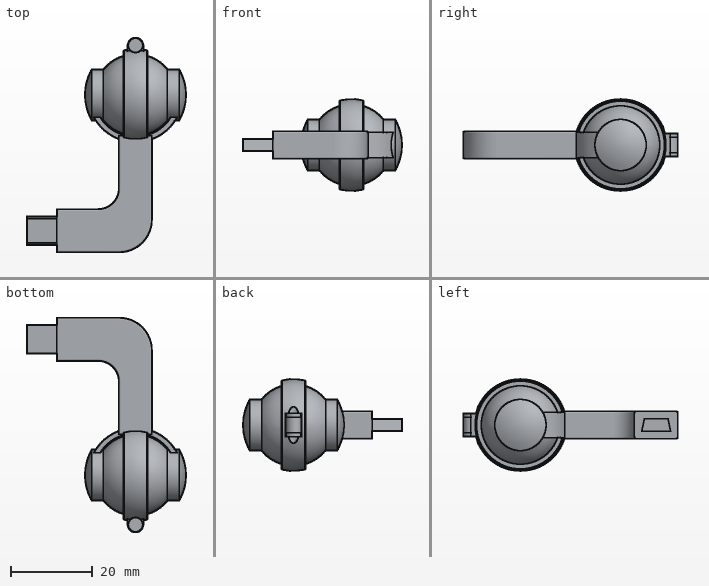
import cadquery as cq
import math


ball_radius = 10.0
band_radius = 11.25
band_half_width = 2.95
band_edge_chamfer = 0.15
cap_radius = 12.5 / 2
cap_dome_radius = 12.35
lug_center_y = 12.1
lug_radius = 1.9
lug_height = 5.65
lug_base_width = 4.05
lug_pocket_diameter = 3.5
lug_pocket_depth = 0.95

arm_left = -19.2
arm_inner_x = -4.1
arm_right = 4.05
arm_end_y = -9.9
arm_inner_y = -27.8
arm_bottom = -38.4
arm_thickness = 6.8
inner_bend_radius = 5.0
outer_bend_radius = 8.0
arm_edge_fillet = 0.5
yoke_outer_radius = 11.55
yoke_inner_radius = 10.15
yoke_height = 6.2
plug_tip_x = -26.5
plug_center_y = (arm_inner_y + arm_bottom) / 2
plug_base_width = 7.0
plug_top_width = 5.75
plug_height = 3.05


def level_plane(height):
    """Workplane that starts a slab of this height centred on Z = 0."""
    return cq.Workplane("XY", origin=(0, 0, -height / 2))


def arc_point(radius, x):
    """Point at x on the upper half of a circle about the origin."""
    return (x, math.sqrt(radius**2 - x**2))


def arc_to(profile, radius, start_x, end_x):
    """Continue a profile along a circle about the origin."""
    return profile.threePointArc(arc_point(radius, (start_x + end_x) / 2), arc_point(radius, end_x))


def make_turned_ball():
    """Domed caps, ball and chamfered spherical band, revolved about X as one shape."""
    dome_x = math.sqrt(cap_dome_radius**2 - cap_radius**2)
    neck_x = math.sqrt(ball_radius**2 - cap_radius**2)
    rim_x = band_half_width
    shoulder_x = rim_x - band_edge_chamfer
    face_radius = math.sqrt(band_radius**2 - rim_x**2) - band_edge_chamfer

    profile = cq.Workplane("XY").moveTo(-cap_dome_radius, 0)
    profile = arc_to(profile, cap_dome_radius, -cap_dome_radius, -dome_x)
    profile = profile.lineTo(-neck_x, cap_radius)
    profile = arc_to(profile, ball_radius, -neck_x, -rim_x)
    profile = profile.lineTo(-rim_x, face_radius).lineTo(*arc_point(band_radius, -shoulder_x))
    profile = arc_to(profile, band_radius, -shoulder_x, shoulder_x)
    profile = profile.lineTo(rim_x, face_radius).lineTo(*arc_point(ball_radius, rim_x))
    profile = arc_to(profile, ball_radius, rim_x, neck_x)
    profile = profile.lineTo(dome_x, cap_radius)
    profile = arc_to(profile, cap_dome_radius, dome_x, cap_dome_radius)
    return profile.close().revolve(360, (0, 0, 0), (1, 0, 0))


def make_lug():
    """Upright rounded lug, sunk into the band, with a pocket in each end."""
    base_depth = lug_center_y - ball_radius
    lug = level_plane(lug_height).center(0, lug_center_y).circle(lug_radius).extrude(lug_height)
    base = cq.Workplane("XY").box(lug_base_width, base_depth, lug_height)
    return lug.union(base.translate((0, lug_center_y - base_depth / 2, 0)))


def make_lug_pocket_cutters():
    """Cylinders above and below the lug web, long enough to clear the band."""
    cutter_height = 2 * band_radius
    cutters = level_plane(cutter_height).center(0, lug_center_y).circle(lug_pocket_diameter / 2)
    cutters = cutters.extrude(cutter_height)
    web_height = lug_height - 2 * lug_pocket_depth
    web = cq.Workplane("XY").box(2 * lug_radius, 2 * lug_radius, web_height)
    return cutters.cut(web.translate((0, lug_center_y, 0)))


def make_ball():
    return make_turned_ball().union(make_lug()).cut(make_lug_pocket_cutters())


def make_bent_bar():
    """L-shaped bar with rounded bends and rounded long edges."""
    bar = (
        level_plane(arm_thickness)
        .moveTo(arm_left, arm_bottom)
        .lineTo(arm_right, arm_bottom)
        .lineTo(arm_right, arm_end_y)
        .lineTo(arm_inner_x, arm_end_y)
        .lineTo(arm_inner_x, arm_inner_y)
        .lineTo(arm_left, arm_inner_y)
        .close()
        .extrude(arm_thickness)
    )
    outer_corner = cq.selectors.NearestToPointSelector((arm_right, arm_bottom, 0))
    bar = bar.edges("|Z").edges(outer_corner).fillet(outer_bend_radius)
    inner_corner = cq.selectors.NearestToPointSelector((arm_inner_x, arm_inner_y, 0))
    bar = bar.edges("|Z").edges(inner_corner).fillet(inner_bend_radius)
    long_edges = bar.faces("|Z").edges("not(<X or >Y)")
    return long_edges.fillet(arm_edge_fillet)


def make_yoke():
    """Half ring reaching round the ball to both caps."""
    ring = level_plane(yoke_height).circle(yoke_outer_radius).circle(yoke_inner_radius)
    ring = ring.extrude(yoke_height)
    front_half = cq.Workplane("XY").box(2 * yoke_outer_radius, yoke_outer_radius, yoke_height)
    return ring.intersect(front_half.translate((0, -yoke_outer_radius / 2, 0)))


def make_plug():
    """Trapezoidal plug, wider at its underside."""
    return (
        cq.Workplane("YZ", origin=(arm_left, plug_center_y, 0))
        .moveTo(-plug_base_width / 2, -plug_height / 2)
        .lineTo(plug_base_width / 2, -plug_height / 2)
        .lineTo(plug_top_width / 2, plug_height / 2)
        .lineTo(-plug_top_width / 2, plug_height / 2)
        .close()
        .extrude(plug_tip_x - arm_left)
    )


def make_arm(ball):
    """Arm with seats that match the band and the caps."""
    return make_bent_bar().union(make_yoke()).union(make_plug()).cut(ball)


ball = make_ball()
arm = make_arm(ball)
result = cq.Compound.makeCompound([ball.solids().val(), arm.solids().val()])